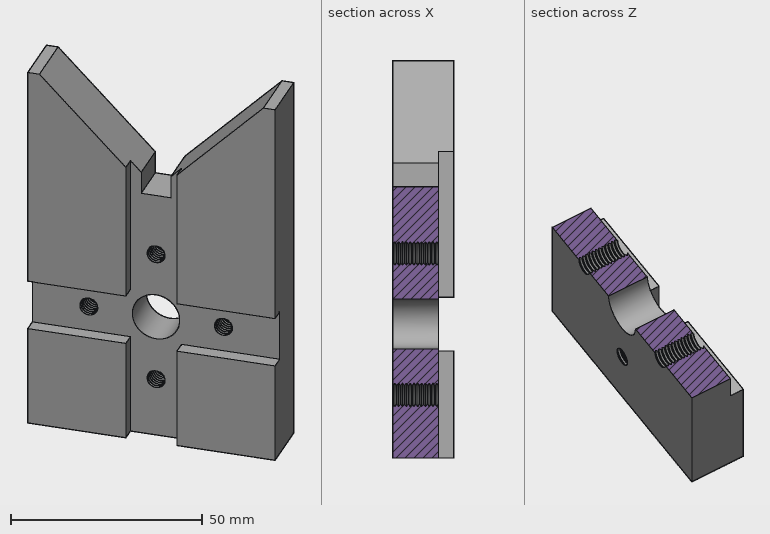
import cadquery as cq
import math

width = 68.0
thickness = 16.0
height = 104.0

top_land = 3.2
v_angle = 90.0
relief_width = 8.1
relief_floor_z = 71.0
v_half_width = width / 2 - top_land
v_depth = (v_half_width - relief_width / 2) / math.tan(math.radians(v_angle / 2))

channel_width = 14.0
channel_depth = 4.0
cross_z = 35.0

bore_diameter = 13.0
thread_hole_count = 4
thread_hole_offset = 18.5
thread_minor_diameter = 4.9
thread_major_diameter = 6.0
thread_pitch = 1.0
groove_share_of_pitch = 0.8
thread_groove_width = groove_share_of_pitch * thread_pitch
groove_count = math.floor((thickness - channel_depth) / thread_pitch)


def plate():
    """Rectangular plate with its front face on Y = 0 and its foot on Z = 0."""
    return cq.Workplane("XY").box(width, thickness, height, centered=(True, False, False))


def v_seat():
    """Cutter for the V seat and the relief slot below it."""
    relief_half = relief_width / 2
    shoulder_z = height - v_depth
    return (
        cq.Workplane("XZ")
        .moveTo(-v_half_width, height)
        .lineTo(-relief_half, shoulder_z)
        .lineTo(-relief_half, relief_floor_z)
        .lineTo(relief_half, relief_floor_z)
        .lineTo(relief_half, shoulder_z)
        .lineTo(v_half_width, height)
        .close()
        .extrude(-thickness)
    )


def cross_channels():
    """Cutter for the upright and level channels of the front face."""
    upright = cq.Workplane("XY").box(
        channel_width, channel_depth, height, centered=(True, False, False)
    )
    level = (
        cq.Workplane("XY")
        .box(width, channel_depth, channel_width, centered=(True, False, True))
        .translate((0, 0, cross_z))
    )
    return upright.union(level)


def central_bore():
    """Cutter for the plain bore through the crossing of the channels."""
    return (
        cq.Workplane("XZ")
        .center(0, cross_z)
        .circle(bore_diameter / 2)
        .extrude(-thickness)
    )


def threaded_hole(x, z):
    """Cutter for a through hole whose thread is a row of V-shaped ring grooves."""
    minor_radius = thread_minor_diameter / 2
    major_radius = thread_major_diameter / 2
    profile = cq.Workplane("XY").moveTo(0, 0).lineTo(minor_radius, 0)
    for groove in range(groove_count):
        groove_y = channel_depth + (groove + 0.5) * thread_pitch
        profile = (
            profile.lineTo(minor_radius, groove_y - thread_groove_width / 2)
            .lineTo(major_radius, groove_y)
            .lineTo(minor_radius, groove_y + thread_groove_width / 2)
        )
    profile = profile.lineTo(minor_radius, thickness).lineTo(0, thickness).close()
    return profile.revolve(360, (0, 0, 0), (0, 1, 0)).translate((x, 0, z))


result = plate().cut(v_seat()).cut(cross_channels()).cut(central_bore())
for hole in range(thread_hole_count):
    angle = 2 * math.pi * hole / thread_hole_count
    hole_x = thread_hole_offset * math.cos(angle)
    hole_z = cross_z + thread_hole_offset * math.sin(angle)
    result = result.cut(threaded_hole(hole_x, hole_z))